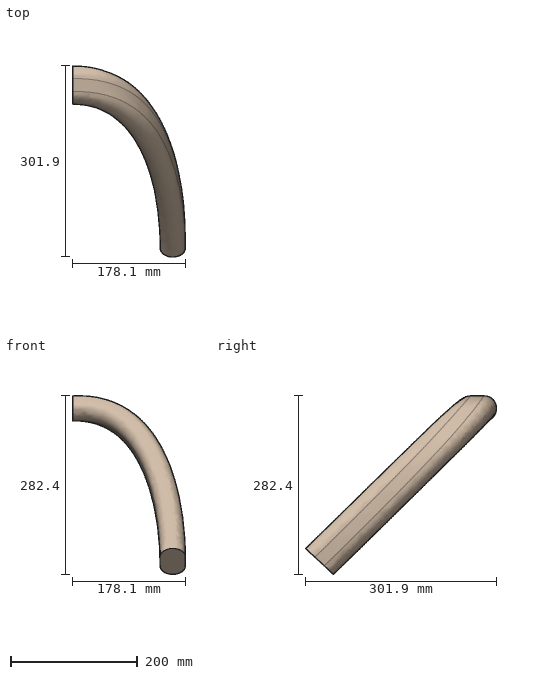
import cadquery as cq

section_length = 60.5
section_width = 40.0

overall_x = 178.0
overall_y = 301.8
overall_z = 282.2

start_direction = cq.Vector(1, 0, 0)
start_long_axis = cq.Vector(0, 1, 0)
end_long_axis = cq.Vector(0, 14.3, -13.3).normalized()
end_direction = end_long_axis.cross(start_direction)

radius = section_width / 2
end_reach_y = section_length / 2 * end_long_axis.y
end_reach_z = -section_length / 2 * end_long_axis.z
start_centre = cq.Vector(0, overall_y - section_length / 2, overall_z - radius)
end_centre = cq.Vector(overall_x - radius, end_reach_y, end_reach_z)

start_arm = 126.8
start_lift = 5.5
end_arm = 142.0
start_control = start_centre + cq.Vector(start_arm, 0, start_lift)
chord = end_centre - start_centre
slope_direction = cq.Vector(0, chord.y, chord.z).normalized()
end_control = end_centre - slope_direction * end_arm

section_steps = 8


def centre_point(t):
    """Point on the cubic Bezier centre line, t from 0 to 1."""
    s = 1 - t
    start_part = start_centre * s**3 + start_control * (3 * s**2 * t)
    end_part = end_control * (3 * s * t**2) + end_centre * t**3
    return start_part + end_part


def centre_direction(t):
    """Unit tangent of the centre line."""
    s = 1 - t
    first = (start_control - start_centre) * s**2
    middle = (end_control - start_control) * (2 * s * t)
    last = (end_centre - end_control) * t**2
    return (first + middle + last).normalized()


def oval_section(t):
    """Closed oval wire across the centre line, square to each end face direction at its ends."""
    blended_axis = start_long_axis * (1 - t) + end_long_axis * t
    start_correction = (start_direction - centre_direction(0)) * (1 - t)
    end_correction = (end_direction - centre_direction(1)) * t
    direction = (centre_direction(t) + start_correction + end_correction).normalized()
    square_axis = blended_axis - direction * blended_axis.dot(direction)
    plane = cq.Plane(origin=centre_point(t), xDir=square_axis, normal=direction)
    return cq.Workplane(plane).slot2D(section_length, section_width).ctx.pendingWires[0]


sections = [oval_section(step / section_steps) for step in range(section_steps + 1)]
result = cq.Workplane("XY").newObject([cq.Solid.makeLoft(sections)])